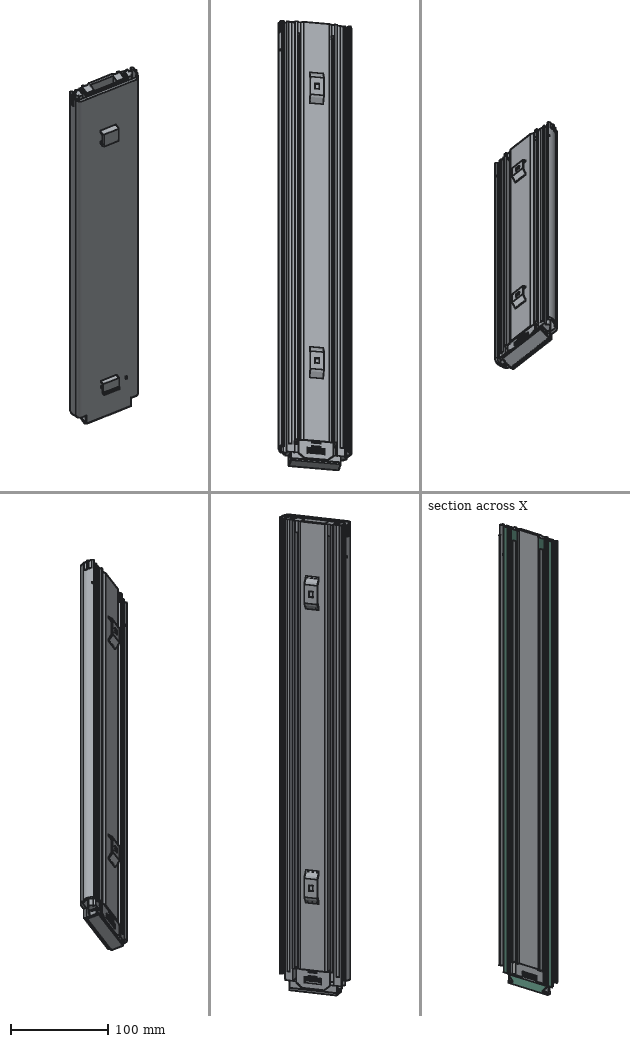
import cadquery as cq
import math


TOP_Z = 254.0
BOTTOM_Z = -254.0
OUTER_END_Z = -237.0
MIDDLE_END_Z = -244.0
INNER_END_Z = -229.5

WEB_BACK_X = 8.5
WEB_THICK = 3.0
WEB_INNER_X = WEB_BACK_X - WEB_THICK
OUTER_WALL = 2.0
OUTER_FLANK_Y = 36.0
OUTER_PEAK_Y = 38.0
BULGE_BACK_X = 3.5
LIP_X = -8.5
LIP_DROP = 1.0
LIP_BEVEL = 1.5
BULGE_MID_X = (BULGE_BACK_X + LIP_X) / 2
BACK_RADIUS = WEB_BACK_X - BULGE_BACK_X
TONGUE_HALF_Y = 26.0
TONGUE_END_Z = -251.5
TONGUE_CORNER = 1.5
POCKET_HEIGHT = 11.5
POCKET_DEPTH = 1.0
POCKET_BACK_X = 1.5
POCKET_RIB = 2.0
NICK_Z = 220.0
NICK_HEIGHT = 1.5
NICK_DEPTH = 1.5

BACK_X = 15.0
CATCH_Z = (178.5, 197.0)
CATCH_Y = (-10.0, 8.0)
CATCH_WALL = 2.0
CATCH_FLOOR = 4.0
CATCH_CHAMFER = 1.5

HOOK_TOP_Z = -192.0
HOOK_BOTTOM_Z = -208.0
HOOK_HALF_Y = 9.0
HOOK_X = (11.5, 13.5)
HOOK_LEG_Z = (-202.5, -200.0)
HOOK_TOE = 2.5
HOOK_ARM = 2.0
PIP_Y = 20.0
PIP_SIZE = 1.5

MIDDLE_WALL = 2.0
MIDDLE_WEB_X = 4.0
MIDDLE_FRONT_X = -8.0
MIDDLE_INSIDE_Y = 22.5
MIDDLE_OUTSIDE_Y = 30.5
RACE_WALL = 4.0
RACEWAY_RADIUS = 2.5
RACEWAY_X = BULGE_MID_X
GROOVE_Y = (25.5, 28.5)
GROOVE_DEPTH = 1.0
GROOVE_END_Z = -234.0

INNER_FRONT_X = -10.0
INNER_BACK_X = 1.0
INNER_WALL = 3.0
INNER_FLAT_Y = 13.0
INNER_SHOULDER = 1.5
INNER_WEB_Y = 16.5
INNER_LIP_WALL = 2.5
INNER_LIP_Y = 22.0
GROOVE_STOP_HEIGHT = 12.5

BRIDGE_CENTRES_Z = (178.5, -139.0)
BRIDGE_FRONT_X = -15.0
BRIDGE_THICK = 2.0
BRIDGE_HALF_Y = 7.0
BRIDGE_HALF_Z = 18.0
BRIDGE_KNEE_X = -14.0
BRIDGE_KNEE_HALF_Z = 12.5
BRIDGE_FLAT_HALF_Z = 10.0
WINDOW_Y = 4.5
WINDOW_Z = 6.0

STOP_FRONT_X = -9.0
STOP_WALL = 2.0
STOP_TOP_Z = -244.0
STOP_HALF_Y = 26.0
CORE_BACK_X = 3.0
CORE_BOTTOM_HALF_Y = 19.5
FOOT_BACK_X = 4.5
FOOT_THICK = 2.5
FOOT_STEP = 1.0
PLATE_HALF_Y = 18.5
PLATE_TIP_HALF_Y = 12.0
PLATE_BOTTOM_Z = -250.0
PLATE_CORNER_Z = -245.0
LATCH_HALF_Y = 9.0
LATCH_Z = (-244.0, -237.5)
BAR_HEIGHT = 2.0
BAR_DEPTH = 1.0
RIB_HALF_Y = 4.5
RIB_CENTRES_Z = (-231.5, -236.0)
RIB_HEIGHT = 0.5
RIB_RISE = 1.0


def box(x, y, z):
    """Box spanning the given (low, high) ranges."""
    return cq.Workplane("XY").box(
        x[1] - x[0], y[1] - y[0], z[1] - z[0], centered=False
    ).translate((x[0], y[0], z[0]))


def both_sides(half):
    """The shape together with its mirror image in the XZ plane."""
    return half.union(half.mirror("XZ"))


def extrude_z(section, z_low, z_high):
    """Extrude a closed section in the XY plane between two heights."""
    return section.extrude(z_high - z_low).translate((0, 0, z_low))


def outer_channel():
    """C-shaped channel whose flanges bulge outward round the ball races."""
    inner_flank_y = OUTER_FLANK_Y - OUTER_WALL
    corner_sag = BACK_RADIUS * (1 - math.sqrt(0.5))
    half = (
        cq.Workplane("XY")
        .moveTo(WEB_BACK_X, 0)
        .lineTo(WEB_BACK_X, OUTER_FLANK_Y - BACK_RADIUS)
        .threePointArc(
            (WEB_BACK_X - corner_sag, OUTER_FLANK_Y - corner_sag),
            (BULGE_BACK_X, OUTER_FLANK_Y),
        )
        .threePointArc((BULGE_MID_X, OUTER_PEAK_Y), (LIP_X, OUTER_FLANK_Y))
        .lineTo(LIP_X, inner_flank_y - LIP_DROP + LIP_BEVEL)
        .lineTo(LIP_X + LIP_BEVEL, inner_flank_y - LIP_DROP)
        .lineTo(LIP_X + OUTER_WALL, inner_flank_y - LIP_DROP)
        .lineTo(LIP_X + OUTER_WALL, inner_flank_y)
        .threePointArc((BULGE_MID_X, OUTER_PEAK_Y - OUTER_WALL), (BULGE_BACK_X, inner_flank_y))
        .lineTo(WEB_INNER_X, inner_flank_y)
        .lineTo(WEB_INNER_X, 0)
        .close()
    )
    return both_sides(extrude_z(half, OUTER_END_Z, TOP_Z))


def outer_tongue():
    """Narrow continuation of the web below the flanges."""
    tongue = box(
        (WEB_INNER_X, WEB_BACK_X), (-TONGUE_HALF_Y, TONGUE_HALF_Y), (TONGUE_END_Z, OUTER_END_Z)
    )
    return tongue.faces("<Z").edges(">X").chamfer(TONGUE_CORNER)


def flange_pockets():
    """Shallow pocket at the top of each flange, split by an upright rib."""
    z = (TOP_Z - POCKET_HEIGHT, TOP_Z)
    y = (OUTER_PEAK_Y - POCKET_DEPTH, OUTER_PEAK_Y)
    front = box((LIP_X, BULGE_MID_X - POCKET_RIB / 2), y, z)
    rear = box((BULGE_MID_X + POCKET_RIB / 2, POCKET_BACK_X), y, z)
    return both_sides(front.union(rear))


def lip_nicks():
    """Small nick across the front face of each lip."""
    return both_sides(
        box((LIP_X, LIP_X + NICK_DEPTH), (0, OUTER_PEAK_Y), (NICK_Z, NICK_Z + NICK_HEIGHT))
    )


def catch():
    """Block on the back of the web, hollowed from its -Y side."""
    block = box((WEB_BACK_X, BACK_X), CATCH_Y, CATCH_Z).edges(">X and <Y").chamfer(CATCH_CHAMFER)
    hollow = box(
        (WEB_BACK_X, BACK_X - CATCH_WALL),
        (CATCH_Y[0], CATCH_Y[1] - CATCH_FLOOR),
        (CATCH_Z[0] + CATCH_WALL, CATCH_Z[1] - CATCH_WALL),
    )
    return block.cut(hollow)


def hook():
    """Bent plate held off the web by an arm and a leg, with a toe pointing outward."""
    y = (-HOOK_HALF_Y, HOOK_HALF_Y)
    plate = box(HOOK_X, y, (HOOK_BOTTOM_Z, HOOK_TOP_Z))
    arm = box((WEB_BACK_X, HOOK_X[0]), y, (HOOK_TOP_Z - HOOK_ARM, HOOK_TOP_Z))
    leg = box((WEB_BACK_X, HOOK_X[0]), y, HOOK_LEG_Z)
    toe = box((HOOK_X[1], BACK_X), y, (HOOK_BOTTOM_Z, HOOK_BOTTOM_Z + HOOK_TOE))
    return plate.union(arm).union(leg).union(toe)


def pip():
    """Small raised pip on the back of the web beside the hook."""
    return box(
        (WEB_BACK_X, WEB_BACK_X + PIP_SIZE), (PIP_Y - PIP_SIZE / 2, PIP_Y + PIP_SIZE / 2), HOOK_LEG_Z
    )


def make_outer_member():
    member = outer_channel().union(outer_tongue()).cut(flange_pockets()).cut(lip_nicks())
    return member.union(catch()).union(hook()).union(pip())


def groove_section():
    """Groove with a sloping floor in the front face of the folded flange."""
    return (
        cq.Workplane("XY")
        .moveTo(MIDDLE_FRONT_X, GROOVE_Y[0])
        .lineTo(MIDDLE_FRONT_X, GROOVE_Y[1])
        .lineTo(MIDDLE_FRONT_X + GROOVE_DEPTH, GROOVE_Y[1])
        .close()
    )


def make_middle_member():
    """Channel with a folded double flange on each side; the outer fold carries a race."""
    half = (
        cq.Workplane("XY")
        .moveTo(MIDDLE_WEB_X, 0)
        .lineTo(MIDDLE_WEB_X, MIDDLE_INSIDE_Y + MIDDLE_WALL)
        .lineTo(MIDDLE_FRONT_X + MIDDLE_WALL, MIDDLE_INSIDE_Y + MIDDLE_WALL)
        .lineTo(MIDDLE_FRONT_X + MIDDLE_WALL, MIDDLE_OUTSIDE_Y - RACE_WALL)
        .lineTo(BULGE_BACK_X - MIDDLE_WALL, MIDDLE_OUTSIDE_Y - RACE_WALL)
        .lineTo(BULGE_BACK_X - MIDDLE_WALL, MIDDLE_OUTSIDE_Y)
        .lineTo(RACEWAY_X + RACEWAY_RADIUS, MIDDLE_OUTSIDE_Y)
        .threePointArc(
            (RACEWAY_X, MIDDLE_OUTSIDE_Y + RACEWAY_RADIUS),
            (RACEWAY_X - RACEWAY_RADIUS, MIDDLE_OUTSIDE_Y),
        )
        .lineTo(MIDDLE_FRONT_X, MIDDLE_OUTSIDE_Y)
        .lineTo(MIDDLE_FRONT_X, MIDDLE_INSIDE_Y)
        .lineTo(MIDDLE_WEB_X - MIDDLE_WALL, MIDDLE_INSIDE_Y)
        .lineTo(MIDDLE_WEB_X - MIDDLE_WALL, 0)
        .close()
    )
    grooves = both_sides(extrude_z(groove_section(), GROOVE_END_Z, TOP_Z))
    return both_sides(extrude_z(half, MIDDLE_END_Z, TOP_Z)).cut(grooves)


def inner_channel():
    """Hat channel with sloped front shoulders and flanges folded back to the front."""
    fold_y = INNER_LIP_Y - INNER_LIP_WALL
    fold_x = INNER_BACK_X - INNER_LIP_WALL
    half = (
        cq.Workplane("XY")
        .moveTo(INNER_FRONT_X, 0)
        .lineTo(INNER_FRONT_X, INNER_FLAT_Y)
        .lineTo(INNER_FRONT_X + INNER_SHOULDER, INNER_WEB_Y)
        .lineTo(fold_x, INNER_WEB_Y)
        .lineTo(fold_x, fold_y)
        .lineTo(INNER_FRONT_X, fold_y)
        .lineTo(INNER_FRONT_X, INNER_LIP_Y)
        .lineTo(INNER_BACK_X, INNER_LIP_Y)
        .lineTo(INNER_BACK_X, INNER_WEB_Y - INNER_WALL)
        .lineTo(INNER_FRONT_X + INNER_WALL, INNER_WEB_Y - INNER_WALL)
        .lineTo(INNER_FRONT_X + INNER_WALL, 0)
        .close()
    )
    return both_sides(extrude_z(half, INNER_END_Z, TOP_Z))


def groove_stops():
    """Filling at the top of each groove between the flange and its fold."""
    return both_sides(
        box(
            (INNER_FRONT_X + INNER_SHOULDER, INNER_BACK_X),
            (INNER_WEB_Y, INNER_LIP_Y),
            (TOP_Z - GROOVE_STOP_HEIGHT, TOP_Z),
        )
    )


def bridge(centre_z):
    """Raised strap with sloped ends, a knee in each slope and a square window."""
    foot = BRIDGE_HALF_Z
    flat = BRIDGE_FLAT_HALF_Z
    under_x = BRIDGE_FRONT_X + BRIDGE_THICK
    strap = (
        cq.Workplane("XZ")
        .polyline(
            [
                (INNER_FRONT_X, -foot),
                (BRIDGE_KNEE_X, -BRIDGE_KNEE_HALF_Z),
                (BRIDGE_FRONT_X, -flat),
                (BRIDGE_FRONT_X, flat),
                (BRIDGE_KNEE_X, BRIDGE_KNEE_HALF_Z),
                (INNER_FRONT_X, foot),
                (INNER_FRONT_X, foot - BRIDGE_THICK),
                (under_x, flat),
                (under_x, -flat),
                (INNER_FRONT_X, BRIDGE_THICK - foot),
            ]
        )
        .close()
        .extrude(BRIDGE_HALF_Y, both=True)
    )
    window = box(
        (BRIDGE_FRONT_X, under_x), (-WINDOW_Y / 2, WINDOW_Y / 2), (-WINDOW_Z / 2, WINDOW_Z / 2)
    )
    return strap.cut(window).translate((0, 0, centre_z))


def make_inner_member():
    member = inner_channel().union(groove_stops())
    for centre_z in BRIDGE_CENTRES_Z:
        member = member.union(bridge(centre_z))
    return member


def stop_plate():
    """Front plate with a tapered lower end."""
    half = (
        cq.Workplane("YZ")
        .moveTo(0, INNER_END_Z)
        .lineTo(PLATE_HALF_Y, INNER_END_Z)
        .lineTo(PLATE_HALF_Y, PLATE_CORNER_Z)
        .lineTo(PLATE_TIP_HALF_Y, PLATE_BOTTOM_Z)
        .lineTo(0, PLATE_BOTTOM_Z)
        .close()
        .extrude(STOP_WALL)
        .translate((STOP_FRONT_X, 0, 0))
    )
    return both_sides(half)


def latch_opening():
    """Rectangular opening through the plate."""
    return box((STOP_FRONT_X, STOP_FRONT_X + STOP_WALL), (-LATCH_HALF_Y, LATCH_HALF_Y), LATCH_Z)


def latch_bar():
    """Thin bar across the back of the latch opening."""
    back_x = STOP_FRONT_X + STOP_WALL
    middle_z = sum(LATCH_Z) / 2
    return box(
        (back_x - BAR_DEPTH, back_x),
        (-LATCH_HALF_Y, LATCH_HALF_Y),
        (middle_z - BAR_HEIGHT / 2, middle_z + BAR_HEIGHT / 2),
    )


def plate_rib(centre_z):
    """Short raised rib on the front of the plate."""
    return box(
        (STOP_FRONT_X - RIB_RISE, STOP_FRONT_X),
        (-RIB_HALF_Y, RIB_HALF_Y),
        (centre_z - RIB_HEIGHT / 2, centre_z + RIB_HEIGHT / 2),
    )


def stop_block():
    """Front wall and a core that narrows downward, both standing on a wide foot."""
    y = (-STOP_HALF_Y, STOP_HALF_Y)
    wall_x = STOP_FRONT_X + FOOT_STEP
    foot_top_z = BOTTOM_Z + FOOT_THICK
    wall = box((wall_x, wall_x + STOP_WALL), y, (BOTTOM_Z, STOP_TOP_Z))
    foot = box((STOP_FRONT_X, FOOT_BACK_X), y, (BOTTOM_Z, foot_top_z))
    half_core = (
        cq.Workplane("YZ")
        .moveTo(0, STOP_TOP_Z)
        .lineTo(STOP_HALF_Y, STOP_TOP_Z)
        .lineTo(CORE_BOTTOM_HALF_Y, foot_top_z)
        .lineTo(0, foot_top_z)
        .close()
        .extrude(CORE_BACK_X - wall_x)
        .translate((wall_x, 0, 0))
    )
    return wall.union(foot).union(both_sides(half_core))


def make_end_stop():
    stop = stop_plate().union(stop_block()).cut(latch_opening()).union(latch_bar())
    for centre_z in RIB_CENTRES_Z:
        stop = stop.union(plate_rib(centre_z))
    return stop


outer_member = make_outer_member()
middle_member = make_middle_member()
inner_member = make_inner_member()
end_stop = make_end_stop()

result = cq.Compound.makeCompound(
    [outer_member.val(), middle_member.val(), inner_member.val(), end_stop.val()]
)